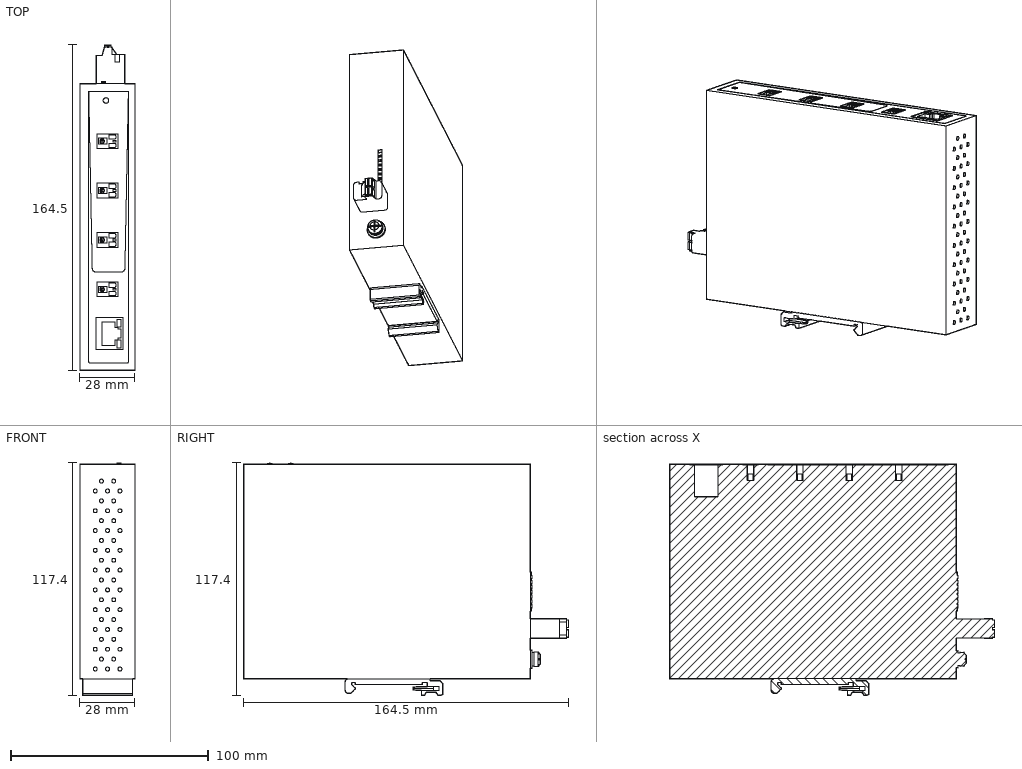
import cadquery as cq
import math


OVERALL_LENGTH = 164.5
WIDTH = 28.0
DEPTH = 145.0
HEIGHT = 108.5

VENT_ROWS = 20
VENT_COLUMN_PITCH = 6.3
VENT_BOTTOM_Z = 5.0
VENT_TOP_Z = 100.0
VENT_ROW_PITCH = (VENT_TOP_Z - VENT_BOTTOM_Z) / (VENT_ROWS - 1)
VENT_DIAMETER = 2.0
VENT_DEPTH = 1.0

PANEL_X = 0.5
PANEL_WIDTH = 20.0
PANEL_FRONT_Y = 3.6
PANEL_REAR_Y = 141.1
PANEL_CORNER = 0.8
PANEL_RECESS = 0.08
LABEL_FRONT_Y = 49.7
LABEL_FRONT_WIDTH = 16.5
LABEL_CORNER = 2.0
LABEL_RECESS = 0.2
SOCKET_RECESS = 0.3
LAMP_X = -0.8
LAMP_Y = 136.5
LAMP_DIAMETER = 2.8

PORT_COUNT = 4
PORT_PITCH = 25.0
PORT_FIRST_Y = 41.0
PORT_WIDTH = 10.5
PORT_LENGTH = 7.4
BORE_X = -2.5
BORE_WIDTH = 4.3
BORE_LENGTH = 3.1
BORE_DEPTH = 8.2
FERRULE_X = -2.8
FERRULE_DIAMETER = 2.3
FERRULE_HOLE_DIAMETER = 1.0
FERRULE_RISE = 3.3
LATCH_LEFT_X = 0.7
LATCH_RIGHT_X = 4.3
LATCH_LENGTH = 2.1
LATCH_OFFSET_Y = 2.1
SPRING_SLOT_LEFT_X = 2.6
SPRING_SLOT_LENGTH = 0.8
LATCH_CHAMFER = 0.5
LATCH_DEPTH = 0.3

JACK_Y = 18.6
JACK_LEFT_X = -5.8
JACK_RIGHT_X = 7.7
JACK_LENGTH = 16.3
JACK_DEPTH = 16.5
JACK_MOUTH_LEFT_X = -2.8
JACK_STEPS = [(3.8, 11.8), (5.3, 6.3), (6.7, 4.5)]
JACK_LIGHT_LEFT_X = 4.8
JACK_LIGHT_RIGHT_X = 6.7
JACK_LIGHT_LENGTH = 4.0
JACK_LIGHT_OFFSET_Y = 5.3
JACK_LIGHT_RISE = 0.5

PLUG_LEFT_X = -5.8
PLUG_RIGHT_X = 8.7
PLUG_BOTTOM_Z = 20.4
PLUG_HEIGHT = 10.0
PLUG_EDGE_RADIUS = 1.5
PLUG_LEFT_LENGTH = 14.3
PLUG_RIGHT_LENGTH = 14.8
PLUG_TIP_LENGTH = 18.5
PLUG_TOTAL_LENGTH = OVERALL_LENGTH - DEPTH
SLOPE_FOOT_X = -2.8
TIP_LEFT_X = -1.6
TIP_RIGHT_X = 2.1
WEB_FOOT_X = 4.6
WEB_HEIGHT = 6.5
CLAMP_PITCH_Z = 5.0
CLAMP_HEIGHT = 4.0
CLAMP_XS = (-0.8, 1.2)
CLAMP_WIDTH = 1.3
SLOPE_POCKET_X = -1.3
SLOPE_POCKET_START = 15.8
PLUG_NOTCH_LEFT_X = 3.8
PLUG_NOTCH_WIDTH = 2.1
PLUG_NOTCH_LENGTH = 3.8
PLUG_NOTCH_DEPTH = 1.0

STRIP_X = -2.0
STRIP_WIDTH = 2.0
STRIP_BOTTOM_Z = 34.2
STRIP_HEIGHT = 19.7
STRIP_RISE = 0.5
TOOTH_COUNT = 7
TOOTH_PITCH = 2.5
TOOTH_HEIGHT = 1.6
TOOTH_RISE = 1.0

SCREW_X = 0.0
SCREW_Z = 9.9
WASHER_RADIUS = 4.6
WASHER_THICKNESS = 1.0
NECK_RADIUS = 3.5
NECK_END = 2.0
HEAD_RADIUS = 3.8
HEAD_SHOULDER = 4.0
HEAD_END = 5.1
HEAD_FLAT_RADIUS = 2.3
DRIVE_SLOT_WIDTH = 0.5
DRIVE_SLOT_DEPTH = 0.7

CLIP_WIDTH = 25.3
CLIP_FRONT_Y = 51.3
CLIP_REAR_Y = 100.8
CLIP_ARM_TOP_Z = -1.0
CLIP_UNDERCUT_Z = -2.0
CLIP_RAIL_FACE_Z = -3.0
CLIP_HOOK_BOTTOM_Z = -7.4
CLIP_BOTTOM_Z = -8.4
CLIP_FOOT_ARCH_Z = -6.9
CLIP_SLOT_TOP_Z = -4.0
CLIP_SLOT_BOTTOM_Z = -6.0
CLIP_FRONT_RADIUS = 1.8
CLIP_PIN_FRONT_Y = 85.9
CLIP_PIN_REAR_Y = 96.2
CLIP_PIN_OFFSET_X = 11.2
CLIP_PIN_TIP_LENGTH = 2.0
CLIP_PIN_TIP_BEVEL = 0.3


def box(x0, x1, y0, y1, z0, z1):
    """A box between two opposite corners."""
    return cq.Workplane("XY").box(x1 - x0, y1 - y0, z1 - z0, centered=False).translate((x0, y0, z0))


def top_pocket(x, y, width, length, depth):
    """A rectangular cutter centred on (x, y), going down from the top of the housing."""
    return cq.Workplane("XY").box(width, length, depth).translate((x, y, HEIGHT - depth / 2))


def vent_holes():
    """Staggered holes: rows of three and two in turn, starting with three at the bottom."""
    points = []
    for row in range(VENT_ROWS):
        columns = 3 if row % 2 == 0 else 2
        z = VENT_BOTTOM_Z + row * VENT_ROW_PITCH
        for column in range(columns):
            x = (column - (columns - 1) / 2) * VENT_COLUMN_PITCH
            points.append((x, z))
    return cq.Workplane("XZ").pushPoints(points).circle(VENT_DIAMETER / 2).extrude(-VENT_DEPTH)


def panel_recess():
    """Shallow panel recess, with a deeper tapered label area and the lamp window."""
    panel_y = (PANEL_FRONT_Y + PANEL_REAR_Y) / 2
    panel = top_pocket(PANEL_X, panel_y, PANEL_WIDTH, PANEL_REAR_Y - PANEL_FRONT_Y, PANEL_RECESS)
    panel = panel.edges("|Z and <Y").fillet(PANEL_CORNER)
    rear_half = PANEL_WIDTH / 2
    front_half = LABEL_FRONT_WIDTH / 2
    label = (
        cq.Workplane("XY", origin=(PANEL_X, 0, HEIGHT))
        .moveTo(-rear_half, PANEL_REAR_Y)
        .lineTo(-front_half, LABEL_FRONT_Y)
        .lineTo(front_half, LABEL_FRONT_Y)
        .lineTo(rear_half, PANEL_REAR_Y)
        .close()
        .extrude(-LABEL_RECESS)
        .edges("|Z and <Y")
        .fillet(LABEL_CORNER)
    )
    lamp = cq.Workplane("XY", origin=(LAMP_X, LAMP_Y, HEIGHT)).circle(LAMP_DIAMETER / 2)
    return panel.union(label).union(lamp.extrude(-SOCKET_RECESS))


def fibre_port(y):
    """Cutter for one fibre port: sunk face, bore with a ferrule, two latch pockets and a spring slot."""
    port = top_pocket(0, y, PORT_WIDTH, PORT_LENGTH, SOCKET_RECESS)
    ferrule = (
        cq.Workplane("XY", origin=(FERRULE_X, y, HEIGHT - BORE_DEPTH))
        .circle(FERRULE_DIAMETER / 2)
        .circle(FERRULE_HOLE_DIAMETER / 2)
        .extrude(FERRULE_RISE)
    )
    bore = top_pocket(BORE_X, y, BORE_WIDTH, BORE_LENGTH, BORE_DEPTH).cut(ferrule)
    port = port.union(bore)

    pocket_depth = SOCKET_RECESS + LATCH_DEPTH
    latch_x = (LATCH_LEFT_X + LATCH_RIGHT_X) / 2
    latch_width = LATCH_RIGHT_X - LATCH_LEFT_X
    for side in (-1, 1):
        latch_y = y + side * LATCH_OFFSET_Y
        latch = top_pocket(latch_x, latch_y, latch_width, LATCH_LENGTH, pocket_depth)
        port = port.union(latch.edges("|Z and >X").chamfer(LATCH_CHAMFER))
    slot_x = (SPRING_SLOT_LEFT_X + LATCH_RIGHT_X) / 2
    slot_width = LATCH_RIGHT_X - SPRING_SLOT_LEFT_X
    return port.union(top_pocket(slot_x, y, slot_width, SPRING_SLOT_LENGTH, pocket_depth))


def network_jack():
    """Cutter for the jack: sunk face and a mouth that narrows in steps towards +X."""
    jack_width = JACK_RIGHT_X - JACK_LEFT_X
    jack_x = (JACK_RIGHT_X + JACK_LEFT_X) / 2
    jack = top_pocket(jack_x, JACK_Y, jack_width, JACK_LENGTH, SOCKET_RECESS)
    for right_x, length in JACK_STEPS:
        width = right_x - JACK_MOUTH_LEFT_X
        step_x = (right_x + JACK_MOUTH_LEFT_X) / 2
        jack = jack.union(top_pocket(step_x, JACK_Y, width, length, JACK_DEPTH))
    return jack


def jack_light(y):
    """One arched indicator light standing on the sunk face of the jack."""
    face_z = HEIGHT - SOCKET_RECESS
    return (
        cq.Workplane("YZ", origin=(JACK_LIGHT_LEFT_X, y, 0))
        .moveTo(-JACK_LIGHT_LENGTH / 2, face_z)
        .threePointArc((0, HEIGHT + JACK_LIGHT_RISE), (JACK_LIGHT_LENGTH / 2, face_z))
        .close()
        .extrude(JACK_LIGHT_RIGHT_X - JACK_LIGHT_LEFT_X)
    )


def power_plug():
    """Plug with rounded long edges, a sloped tip with clamps, a side web and a notch."""
    top_z = PLUG_BOTTOM_Z + PLUG_HEIGHT
    middle_z = PLUG_BOTTOM_Z + PLUG_HEIGHT / 2
    left_y = DEPTH + PLUG_LEFT_LENGTH
    right_y = DEPTH + PLUG_RIGHT_LENGTH
    tip_y = DEPTH + PLUG_TIP_LENGTH

    envelope = box(PLUG_LEFT_X, PLUG_RIGHT_X, DEPTH, tip_y, PLUG_BOTTOM_Z, top_z)
    envelope = envelope.edges("|Y").fillet(PLUG_EDGE_RADIUS)
    outline = [
        (PLUG_LEFT_X, DEPTH),
        (PLUG_LEFT_X, left_y),
        (SLOPE_FOOT_X, left_y),
        (TIP_LEFT_X, tip_y),
        (TIP_RIGHT_X, tip_y),
        (TIP_RIGHT_X, right_y),
        (PLUG_RIGHT_X, right_y),
        (PLUG_RIGHT_X, DEPTH),
    ]
    profile = cq.Workplane("XY", origin=(0, 0, PLUG_BOTTOM_Z)).polyline(outline).close()
    plug = envelope.intersect(profile.extrude(PLUG_HEIGHT))

    web_outline = [(TIP_RIGHT_X, tip_y), (WEB_FOOT_X, right_y), (TIP_RIGHT_X, right_y)]
    web = cq.Workplane("XY", origin=(0, 0, middle_z)).polyline(web_outline).close()
    plug = plug.union(web.extrude(WEB_HEIGHT / 2, both=True))

    for side in (-1, 1):
        clamp_z = middle_z + side * CLAMP_PITCH_Z / 2
        low, high = clamp_z - CLAMP_HEIGHT / 2, clamp_z + CLAMP_HEIGHT / 2
        plug = plug.cut(box(PLUG_LEFT_X, SLOPE_POCKET_X, DEPTH + SLOPE_POCKET_START, tip_y, low, high))
        for x in CLAMP_XS:
            left, right = x - CLAMP_WIDTH / 2, x + CLAMP_WIDTH / 2
            plug = plug.union(box(left, right, tip_y, DEPTH + PLUG_TOTAL_LENGTH, low, high))

    notch_right_x = PLUG_NOTCH_LEFT_X + PLUG_NOTCH_WIDTH
    notch_y = right_y - PLUG_NOTCH_LENGTH
    notch = box(PLUG_NOTCH_LEFT_X, notch_right_x, notch_y, right_y, top_z - PLUG_NOTCH_DEPTH, top_z)
    return plug.cut(notch)


def pin_strip():
    """Low bar on the connector face with a row of teeth."""
    left, right = STRIP_X - STRIP_WIDTH / 2, STRIP_X + STRIP_WIDTH / 2
    strip = box(left, right, DEPTH, DEPTH + STRIP_RISE, STRIP_BOTTOM_Z, STRIP_BOTTOM_Z + STRIP_HEIGHT)
    middle_z = STRIP_BOTTOM_Z + STRIP_HEIGHT / 2
    for index in range(TOOTH_COUNT):
        z = middle_z + (index - (TOOTH_COUNT - 1) / 2) * TOOTH_PITCH
        low, high = z - TOOTH_HEIGHT / 2, z + TOOTH_HEIGHT / 2
        strip = strip.union(box(left, right, DEPTH, DEPTH + TOOTH_RISE, low, high))
    return strip


def earth_screw():
    """Screw with a washer and a cross-slotted head, its axis along Y."""
    half_profile = [
        (0, 0),
        (WASHER_RADIUS, 0),
        (WASHER_RADIUS, WASHER_THICKNESS),
        (NECK_RADIUS, WASHER_THICKNESS),
        (NECK_RADIUS, NECK_END),
        (HEAD_RADIUS, NECK_END),
        (HEAD_RADIUS, HEAD_SHOULDER),
        (HEAD_FLAT_RADIUS, HEAD_END),
        (0, HEAD_END),
    ]
    screw = cq.Workplane("XY").polyline(half_profile).close().revolve(360, (0, 0, 0), (0, 1, 0))
    slot = cq.Workplane("XY").box(2 * HEAD_RADIUS, 2 * DRIVE_SLOT_DEPTH, DRIVE_SLOT_WIDTH)
    slot = slot.translate((0, HEAD_END, 0))
    crossing_slot = slot.rotate((0, 0, 0), (0, 1, 0), 90)
    return screw.cut(slot).cut(crossing_slot).translate((SCREW_X, DEPTH, SCREW_Z))


def make_housing():
    """Housing with its panel, sockets and connectors."""
    housing = box(-WIDTH / 2, WIDTH / 2, 0, DEPTH, 0, HEIGHT)
    housing = housing.cut(vent_holes()).cut(panel_recess())
    for index in range(PORT_COUNT):
        housing = housing.cut(fibre_port(PORT_FIRST_Y + index * PORT_PITCH))
    housing = housing.cut(network_jack())
    for side in (-1, 1):
        housing = housing.union(jack_light(JACK_Y + side * JACK_LIGHT_OFFSET_Y))
    return housing.union(power_plug()).union(pin_strip()).union(earth_screw())


def spring_pin(x):
    """Six-sided pin along Y with a slightly tapered front tip, as thick as the clip slot is high."""
    across_corners = (CLIP_SLOT_TOP_Z - CLIP_SLOT_BOTTOM_Z) / math.cos(math.radians(30))
    pin_z = (CLIP_SLOT_TOP_Z + CLIP_SLOT_BOTTOM_Z) / 2
    straight_end_y = CLIP_PIN_FRONT_Y + CLIP_PIN_TIP_LENGTH
    taper_angle = math.degrees(math.atan(CLIP_PIN_TIP_BEVEL / CLIP_PIN_TIP_LENGTH))
    shank = cq.Workplane("XZ", origin=(x, CLIP_PIN_REAR_Y, pin_z)).polygon(6, across_corners)
    tip = cq.Workplane("XZ", origin=(x, straight_end_y, pin_z)).polygon(6, across_corners)
    pin = shank.extrude(CLIP_PIN_REAR_Y - straight_end_y)
    return pin.union(tip.extrude(CLIP_PIN_TIP_LENGTH, taper=taper_angle))


def make_rail_clip():
    """Rail clip: one profile across X, with a spring pin near each end of its slot."""
    outline = [
        (CLIP_FRONT_Y, 0),
        (94.4, 0),
        (94.4, CLIP_ARM_TOP_Z),
        (99.5, CLIP_ARM_TOP_Z),
        (CLIP_REAR_Y, -2.5),
        (CLIP_REAR_Y, -7.9),
        (100.0, CLIP_BOTTOM_Z),
        (98.4, CLIP_BOTTOM_Z),
        (97.4, CLIP_FOOT_ARCH_Z),
        (92.5, CLIP_FOOT_ARCH_Z),
        (91.6, CLIP_BOTTOM_Z),
        (90.0, CLIP_BOTTOM_Z),
        (90.0, CLIP_SLOT_BOTTOM_Z),
        (98.9, CLIP_SLOT_BOTTOM_Z),
        (98.9, CLIP_SLOT_TOP_Z),
        (93.0, CLIP_SLOT_TOP_Z),
        (93.0, CLIP_UNDERCUT_Z),
        (90.5, CLIP_UNDERCUT_Z),
        (90.5, CLIP_RAIL_FACE_Z),
        (56.4, CLIP_RAIL_FACE_Z),
        (56.4, CLIP_UNDERCUT_Z),
        (54.8, CLIP_UNDERCUT_Z),
        (54.8, CLIP_RAIL_FACE_Z),
        (56.7, -5.0),
        (54.3, CLIP_HOOK_BOTTOM_Z),
        (CLIP_FRONT_Y, CLIP_HOOK_BOTTOM_Z),
    ]
    clip = cq.Workplane("YZ").polyline(outline).close().extrude(CLIP_WIDTH / 2, both=True)
    clip = clip.faces("<Y").edges("|X").fillet(CLIP_FRONT_RADIUS)
    for side in (-1, 1):
        clip = clip.union(spring_pin(side * CLIP_PIN_OFFSET_X))
    return clip


housing = make_housing()
rail_clip = make_rail_clip()
result = cq.Compound.makeCompound([housing.solids().val(), rail_clip.solids().val()])